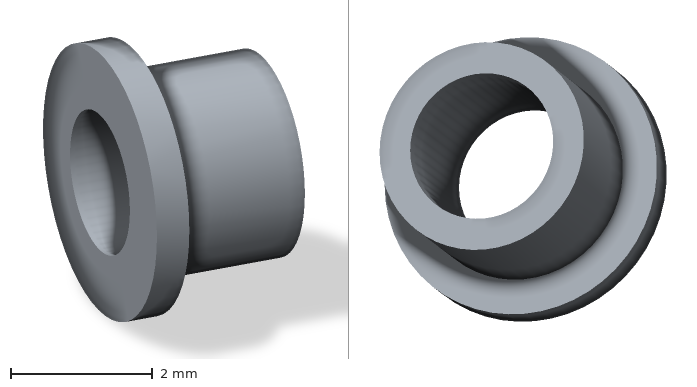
import cadquery as cq

flange_diameter = 4.0
flange_thickness = 0.5
sleeve_diameter = 3.0
bore_diameter = 2.1
total_length = 2.5

flange = cq.Workplane("XZ").circle(flange_diameter / 2).extrude(-flange_thickness)
sleeve = cq.Workplane("XZ").circle(sleeve_diameter / 2).extrude(-total_length)
bore = cq.Workplane("XZ").circle(bore_diameter / 2).extrude(-total_length)

result = flange.union(sleeve).cut(bore)